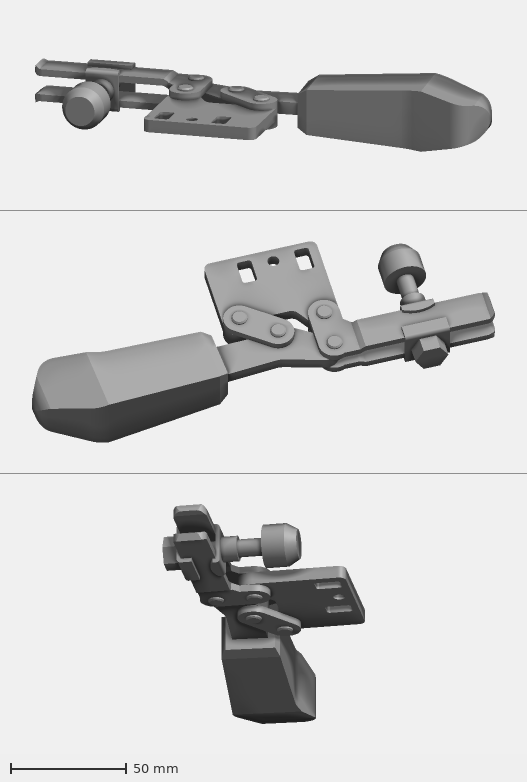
import cadquery as cq
import math


core_t = 5.5
strip_t = 3.0
core_top = core_t / 2
strip_top = core_top + strip_t

arm_pivot_x = 7.5
base_arm_pivot = (arm_pivot_x, 41.2)
lever_arm_pivot = (arm_pivot_x, 58.0)
lever_link_pivot = (29.3, 45.5)
base_link_pivot = (43.7, 34.5)
rivet_r = 3.5
rivet_head = 1.2
rivet_chamfer = 0.6
eye_r = 7.0

base_w = 50.7
base_corner_r = 3.0
notch_floor = 34.2
notch_left_run = 4.5
notch_left_r = 4.1
notch_right_run = 3.0
notch_right_r = 3.0
slot_w = 6.5
slot_len = 11.3
slot_corner_r = 1.2
slot_y = 8.7
slot_pitch = 25.7
slot_1_x = 7.5
locating_hole_d = 5.1
locating_hole = (20.5, 6.2)

arm_left = -64.0
arm_bottom = 49.6
arm_w = 14.8
arm_top = arm_bottom + arm_w
fork_inner = 4.1
fork_outer = fork_inner + strip_t
joggle_start = -5.0
joggle_end = -2.5
arm_chamfer = 3.0
arm_tip_r = 4.3
tip_flare_x = 2.0
tip_rise = 1.2
tip_lean = 0.8

spindle_x = -32.3
shaft_r = 4.0
collar_r = 5.5
hex_corner_d = 14.8
hex_top = 73.1
collar_bottom = 40.8
washer_t = 1.9
washer_half_h = fork_outer + washer_t
upper_washer_w = 20.0
lower_washer_w = 14.6
upper_flange = 4.7
lower_flange = 3.3
washer_bend_r = 1.6
flange_arc_rise = 1.9

cap_r = 9.5
cap_face_r = 6.5
cap_top = 29.3
cap_cone_top = 19.2
cap_bottom = 14.2

grip_front_top = (56.6, 63.0)
grip_front_bottom = (58.0, 41.5)
grip_shoulder_top = (61.0, 65.5)
grip_shoulder_bottom = (62.5, 40.0)
grip_waist = (107.5, 41.5)
grip_waist_r = 18.5
grip_heel = (133.5, 35.8)
grip_heel_r = 7.2
grip_nose = (145.0, 57.7)
grip_nose_r = 8.0
grip_back = (116.0, 70.5)
grip_back_r = 16.5
grip_lean = grip_front_bottom[0] - grip_front_top[0]
grip_height = grip_front_top[1] - grip_front_bottom[1]
grip_tilt = math.degrees(math.atan2(grip_lean, grip_height))
grip_front_half_t = 7.6
grip_shoulder = 4.3
grip_shoulder_half_t = 10.0
grip_ridge = 55.8
grip_max_t = 27.2
grip_tip = 79.0
grip_tip_half_t = 8.2
grip_end = 84.5

lever_end_top = 60.1
lever_end_bottom = 44.5
lever_top_bend = (32.0, 58.3)
lever_top_bend_r = 10.3
lever_nose_top = (8.7, 65.0)
lever_nose_top_r = 6.2
lever_nose_bottom = (3.3, 55.5)
lever_nose_bottom_r = 4.1
lever_belly_start = (14.6, 48.0)
lever_belly_end = (22.7, 42.6)
lever_boss_bottom = (29.3, 38.5)
lever_boss_r = 4.1
lever_lower_bend = (42.2, 44.0)
lever_lower_bend_r = 6.2


min_line = 0.0002


def rounded_outline(corners):
    """Closed outline through (x, y, radius) corners, each rounded by a tangent arc."""
    count = len(corners)
    arcs = []
    for i, (x, y, radius) in enumerate(corners):
        before = corners[i - 1]
        after = corners[(i + 1) % count]
        corner = cq.Vector(x, y)
        to_before = (cq.Vector(before[0], before[1]) - corner).normalized()
        to_after = (cq.Vector(after[0], after[1]) - corner).normalized()
        half_angle = to_before.getAngle(to_after) / 2
        reach = radius / math.tan(half_angle)
        bisector = (to_before + to_after).normalized()
        middle = corner + bisector * (radius / math.sin(half_angle) - radius)
        arcs.append((radius, corner + to_before * reach, middle, corner + to_after * reach))
    outline = cq.Workplane("XY").moveTo(*arcs[0][3].toTuple()[:2])
    outline_end = arcs[0][3]
    for radius, start, middle, end in arcs[1:] + arcs[:1]:
        if (start - outline_end).Length > min_line:
            outline = outline.lineTo(start.x, start.y)
        if radius > 0:
            outline = outline.threePointArc((middle.x, middle.y), (end.x, end.y))
        outline_end = end
    return outline.close()


def disc(center, radius, z_bottom, z_top):
    return cq.Workplane("XY", origin=(*center, z_bottom)).circle(radius).extrude(z_top - z_bottom)


def plate(corners, half_t):
    return rounded_outline(corners).extrude(half_t, both=True)


def rivet(center):
    z_top = strip_top + rivet_head
    return disc(center, rivet_r, -z_top, z_top).faces("<Z or >Z").chamfer(rivet_chamfer)


def rivet_hole(center):
    return disc(center, rivet_r, -core_top, core_top)


def spindle_turn(radius, y_bottom, y_top):
    """Cylinder on the spindle axis."""
    plane = cq.Workplane("XZ", origin=(spindle_x, y_bottom, 0))
    return plane.circle(radius).extrude(y_bottom - y_top)


def make_base():
    notch_left = base_arm_pivot[0] + eye_r
    notch_right = base_link_pivot[0] - eye_r
    arm_eye_top = base_arm_pivot[1] + eye_r
    link_eye_top = base_link_pivot[1] + eye_r
    base = plate([
        (0, 0, base_corner_r),
        (base_w, 0, base_corner_r),
        (base_w, link_eye_top, eye_r),
        (notch_right, link_eye_top, notch_right_r),
        (notch_right - notch_right_run, notch_floor, notch_right_r),
        (notch_left + notch_left_run, notch_floor, notch_left_r),
        (notch_left, base_arm_pivot[1], 0),
        (notch_left, arm_eye_top, eye_r),
        (0, arm_eye_top, eye_r),
    ], core_top)
    for slot_x in (slot_1_x, slot_1_x + slot_pitch):
        slot = cq.Workplane("XY").box(slot_w, slot_len, core_t).edges("|Z").fillet(slot_corner_r)
        base = base.cut(slot.translate((slot_x, slot_y, 0)))
    base = base.cut(disc(locating_hole, locating_hole_d / 2, -core_top, core_top))
    return base.cut(rivet_hole(base_arm_pivot)).cut(rivet_hole(base_link_pivot))


def grip_front_x(y):
    """X of the leaning front face of the grip at height y."""
    return grip_front_top[0] + (grip_front_top[1] - y) * grip_lean / grip_height


def make_lever():
    lever = plate([
        (*lever_nose_bottom, lever_nose_bottom_r),
        (*lever_belly_start, 0),
        (*lever_belly_end, 0),
        (*lever_boss_bottom, lever_boss_r),
        (*lever_lower_bend, lever_lower_bend_r),
        (grip_front_x(lever_end_bottom), lever_end_bottom, 0),
        (grip_front_x(lever_end_top), lever_end_top, 0),
        (*lever_top_bend, lever_top_bend_r),
        (*lever_nose_top, lever_nose_top_r),
    ], core_top)
    return lever.cut(rivet_hole(lever_arm_pivot)).cut(rivet_hole(lever_link_pivot))


def make_grip():
    plan = plate([
        (*grip_front_top, 0),
        (*grip_front_bottom, 0),
        (*grip_shoulder_bottom, 0),
        (*grip_waist, grip_waist_r),
        (*grip_heel, grip_heel_r),
        (*grip_nose, grip_nose_r),
        (*grip_back, grip_back_r),
        (*grip_shoulder_top, 0),
    ], grip_max_t)
    half_profile = [
        (0, grip_front_half_t),
        (grip_shoulder, grip_shoulder_half_t),
        (grip_ridge, grip_max_t / 2),
        (grip_tip, grip_tip_half_t),
    ]
    profile = (
        cq.Workplane("XZ").polyline(half_profile)
        .threePointArc((grip_end, 0), (grip_tip, -grip_tip_half_t))
    )
    for x, half_t in reversed(half_profile[:-1]):
        profile = profile.lineTo(x, -half_t)
    blank = profile.close().extrude(grip_height, both=True)
    front_x = (grip_front_top[0] + grip_front_bottom[0]) / 2
    front_y = (grip_front_top[1] + grip_front_bottom[1]) / 2
    blank = blank.rotate((0, 0, 0), (0, 0, 1), grip_tilt).translate((front_x, front_y, 0))
    return plan.intersect(blank)


def arm_strip():
    plan = plate([
        (arm_left, arm_bottom, arm_tip_r),
        (-arm_chamfer, arm_bottom, 0),
        (arm_pivot_x - eye_r, arm_bottom - arm_chamfer, 0),
        (arm_pivot_x - eye_r, base_arm_pivot[1] - eye_r, eye_r),
        (arm_pivot_x + eye_r, base_arm_pivot[1] - eye_r, eye_r),
        (arm_pivot_x + eye_r, arm_top, eye_r),
        (arm_left, arm_top, arm_tip_r),
    ], washer_half_h)
    plan = plan.union(disc(lever_arm_pivot, eye_r, -washer_half_h, washer_half_h))
    bend_x = arm_left + tip_flare_x
    section = cq.Workplane("XZ").polyline([
        (arm_left, fork_inner + tip_rise),
        (bend_x, fork_inner),
        (joggle_start, fork_inner),
        (joggle_end, core_top),
        (base_w, core_top),
        (base_w, strip_top),
        (joggle_end, strip_top),
        (joggle_start, fork_outer),
        (bend_x + tip_lean, fork_outer),
        (arm_left + tip_lean, fork_outer + tip_rise),
    ]).close().extrude(-hex_top)
    return plan.intersect(section)


def make_arm():
    strip = arm_strip()
    arm = strip.union(strip.mirror("XY"))
    return arm.union(rivet(base_arm_pivot)).union(rivet(lever_arm_pivot))


def link_strip():
    span_x = base_link_pivot[0] - lever_link_pivot[0]
    span_y = base_link_pivot[1] - lever_link_pivot[1]
    length = math.hypot(span_x, span_y) + 2 * eye_r
    angle = math.degrees(math.atan2(span_y, span_x))
    middle = (lever_link_pivot[0] + span_x / 2, lever_link_pivot[1] + span_y / 2)
    plane = cq.Workplane("XY", origin=(*middle, core_top))
    return plane.slot2D(length, 2 * eye_r, angle).extrude(strip_t)


def make_link():
    strip = link_strip()
    link = strip.union(strip.mirror("XY"))
    return link.union(rivet(lever_link_pivot)).union(rivet(base_link_pivot))


def channel(width, y_bottom, y_top):
    """Solid block enclosing both strips, from which a washer is cut."""
    block = cq.Workplane("XY").box(width, y_top - y_bottom, 2 * washer_half_h)
    return block.translate((spindle_x, (y_top + y_bottom) / 2, 0))


def arm_space():
    """Space that the two strips and the gap between them take up."""
    space = cq.Workplane("XY").box(upper_washer_w, arm_w, 2 * fork_outer)
    return space.translate((spindle_x, arm_bottom + arm_w / 2, 0))


def upper_washer():
    washer = channel(upper_washer_w, arm_top - upper_flange, arm_top + washer_t)
    return washer.edges(">Y and |X").fillet(washer_bend_r).cut(arm_space())


def lower_washer():
    half_w = lower_washer_w / 2
    y_bottom = arm_bottom - washer_t
    y_top = arm_bottom + lower_flange
    washer = channel(lower_washer_w, y_bottom, y_top).edges("<Y and |X").fillet(washer_bend_r)
    arched = (
        cq.Workplane("XY").moveTo(spindle_x - half_w, y_bottom)
        .lineTo(spindle_x + half_w, y_bottom)
        .lineTo(spindle_x + half_w, y_top - flange_arc_rise)
        .threePointArc((spindle_x, y_top), (spindle_x - half_w, y_top - flange_arc_rise))
        .close().extrude(washer_half_h, both=True)
    )
    return washer.intersect(arched).cut(arm_space())


def make_spindle():
    hex_bottom = arm_top + washer_t
    hexagon = cq.Workplane("XZ", origin=(spindle_x, hex_bottom, 0)).polygon(6, hex_corner_d)
    spindle = spindle_turn(shaft_r, cap_top, hex_top)
    spindle = spindle.union(hexagon.extrude(hex_bottom - hex_top))
    spindle = spindle.union(spindle_turn(collar_r, collar_bottom, arm_bottom - washer_t))
    return spindle.union(upper_washer()).union(lower_washer())


def make_cap():
    profile = cq.Workplane("XY", origin=(spindle_x, 0, 0)).polyline([
        (0, cap_bottom),
        (cap_face_r, cap_bottom),
        (cap_r, cap_cone_top),
        (cap_r, cap_top),
        (0, cap_top),
    ])
    return profile.close().revolve(360, (0, 0, 0), (0, 1, 0))


base = make_base()
lever = make_lever()
grip = make_grip()
arm = make_arm()
link = make_link()
spindle = make_spindle()
cap = make_cap()

result = cq.Compound.makeCompound([
    base.val(),
    lever.val(),
    grip.val(),
    arm.val(),
    link.val(),
    spindle.val(),
    cap.val(),
])